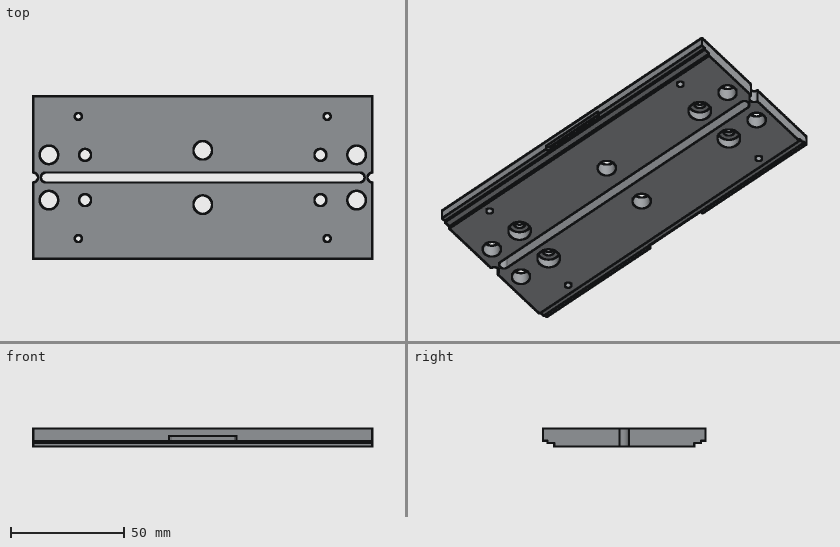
import cadquery as cq

LENGTH = 150.0
WIDTH = 72.0
THICKNESS = 8.0

OUTER_STEP_INSET = 2.0
OUTER_STEP_HEIGHT = 2.5
INNER_STEP_INSET = 5.0
INNER_STEP_HEIGHT = 1.5

RECESS_LENGTH = 30.0
RECESS_TOP = 4.7
RECESS_DEPTH = 1.5
RECESS_CORNER_RADIUS = 1.0

SLOT_WIDTH = 4.3
SLOT_LENGTH = 143.0
NOTCH_RADIUS = SLOT_WIDTH / 2

LARGE_HOLE_DIAMETER = 8.1
END_HOLE_X = 68.0
HOLE_ROW_Y = 10.0
MIDDLE_HOLE_Y = 12.0
PIN_HOLE_DIAMETER = 3.0
PIN_HOLE_X = 55.0
PIN_HOLE_Y = 27.0

SCREW_HOLE_DIAMETER = 5.2
SCREW_HOLE_X = 52.0
COUNTERBORE_DIAMETER = 10.0
COUNTERBORE_DEPTH = 5.5


def mirrored_points(x, y):
    """The four points mirrored about both centrelines."""
    return [(sx * x, sy * y) for sx in (-1, 1) for sy in (-1, 1)]


def cylinders(points, diameter, height):
    """Upright cylinders standing on Z = 0."""
    return cq.Workplane("XY").pushPoints(points).circle(diameter / 2).extrude(height)


def stepped_plate():
    """Plate with the stepped underside running along its whole length."""
    half_width = WIDTH / 2
    outer_y = half_width - OUTER_STEP_INSET
    inner_y = half_width - INNER_STEP_INSET
    half_section = [
        (0, 0),
        (inner_y, 0),
        (inner_y, INNER_STEP_HEIGHT),
        (outer_y, INNER_STEP_HEIGHT),
        (outer_y, OUTER_STEP_HEIGHT),
        (half_width, OUTER_STEP_HEIGHT),
        (half_width, THICKNESS),
        (0, THICKNESS),
    ]
    half = cq.Workplane("YZ").polyline(half_section).close().extrude(LENGTH / 2, both=True)
    return half.union(half.mirror("XZ"))


def edge_recesses():
    """Cutters for the round-cornered recesses, open below, in both long edges."""
    cutter = (
        cq.Workplane("XY")
        .box(RECESS_LENGTH, 2 * RECESS_DEPTH, RECESS_TOP, centered=(True, True, False))
        .edges("|Z")
        .fillet(RECESS_CORNER_RADIUS)
    )
    offset = WIDTH / 2
    return cutter.translate((0, -offset, 0)).union(cutter.translate((0, offset, 0)))


def centre_slot():
    return cq.Workplane("XY").slot2D(SLOT_LENGTH, SLOT_WIDTH).extrude(THICKNESS)


def end_notches():
    ends = [(-LENGTH / 2, 0), (LENGTH / 2, 0)]
    return cylinders(ends, 2 * NOTCH_RADIUS, THICKNESS)


def through_holes():
    large_points = mirrored_points(END_HOLE_X, HOLE_ROW_Y)
    large_points += [(0, -MIDDLE_HOLE_Y), (0, MIDDLE_HOLE_Y)]
    large = cylinders(large_points, LARGE_HOLE_DIAMETER, THICKNESS)
    pins = cylinders(mirrored_points(PIN_HOLE_X, PIN_HOLE_Y), PIN_HOLE_DIAMETER, THICKNESS)
    return large.union(pins)


def screw_holes():
    points = mirrored_points(SCREW_HOLE_X, HOLE_ROW_Y)
    shanks = cylinders(points, SCREW_HOLE_DIAMETER, THICKNESS)
    heads = cylinders(points, COUNTERBORE_DIAMETER, COUNTERBORE_DEPTH)
    return shanks.union(heads)


result = (
    stepped_plate()
    .cut(edge_recesses())
    .cut(centre_slot())
    .cut(end_notches())
    .cut(through_holes())
    .cut(screw_holes())
)